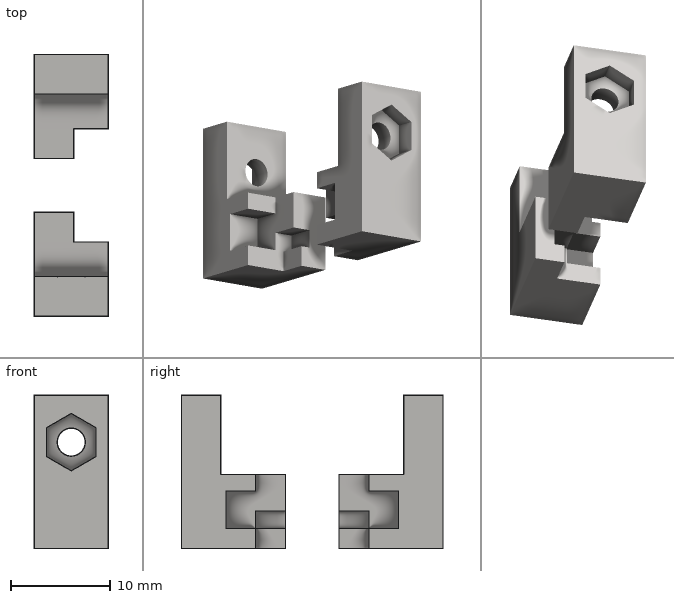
import cadquery as cq

span = 26.4
width = 7.5
height = 15.5
jaw_length = 10.5

post_thickness = 3.99
foot_height = 7.5

hook_length = 3.0
hook_width = 4.0
hook_neck_width = 2.0
lip_width = 3.0
lip_height = 2.03
hook_underside = 3.83

pocket_depth = 3.0
pocket_top = 5.83

hole_diameter = 2.8
hole_height = 10.75
nut_across_flats = 5.02
nut_depth = 2.0


def box_between(x_range, y_range, z_range):
    """Axis-aligned box given by its start and end along each axis."""
    starts, ends = zip(x_range, y_range, z_range)
    lengths = [end - start for start, end in zip(starts, ends)]
    return cq.Workplane("XY").box(*lengths, centered=False).translate(starts)


def make_blank():
    """L-shaped blank with its outer face at Y = 0 and its foot toward +Y."""
    post = box_between((0, width), (0, post_thickness), (0, height))
    foot_body = box_between((0, width), (0, jaw_length - hook_length), (0, foot_height))
    return post.union(foot_body)


def make_hook():
    """Stepped hook profile in XZ, extruded over the free end of the foot."""
    profile = [
        (0, 0),
        (lip_width, 0),
        (lip_width, lip_height),
        (hook_neck_width, lip_height),
        (hook_neck_width, hook_underside),
        (hook_width, hook_underside),
        (hook_width, foot_height),
        (0, foot_height),
    ]
    end_face = cq.Workplane("XZ", origin=(0, jaw_length, 0))
    return end_face.polyline(profile).close().extrude(hook_length)


def make_pocket():
    """Rectangular pocket cut into the foot from the notch beside the hook."""
    notch_face = jaw_length - hook_length
    return box_between(
        (hook_width, width),
        (notch_face - pocket_depth, notch_face),
        (lip_height, pocket_top),
    )


def make_screw_cut():
    """Through hole with a hexagonal nut recess, flats facing X, in the outer face."""
    outer_face = cq.Workplane("XZ", origin=(width / 2, 0, hole_height))
    hole = outer_face.circle(hole_diameter / 2).extrude(-post_thickness)
    recess = outer_face.polygon(6, nut_across_flats, circumscribed=True).extrude(-nut_depth)
    return hole.union(recess)


def make_jaw():
    """One jaw, with its outer face at Y = 0."""
    return make_blank().union(make_hook()).cut(make_pocket()).cut(make_screw_cut())


front_jaw = make_jaw()
back_jaw = front_jaw.mirror("XZ").translate((0, span, 0))

result = cq.Compound.makeCompound([front_jaw.val(), back_jaw.val()])